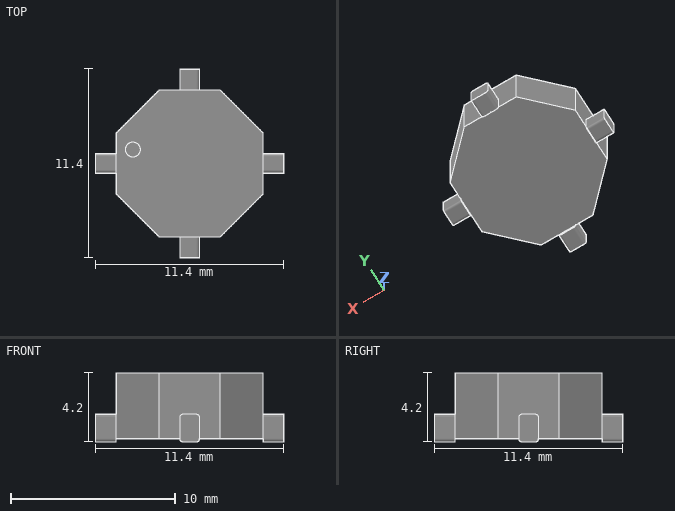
import cadquery as cq
import math

span = 11.43
total_height = 4.2
standoff = 0.2

housing_width = 8.92
housing_height = total_height - standoff
corner_cut = housing_width * (1 - math.tan(math.pi / 8)) / 2

mark_diameter = 0.9
mark_depth = 0.1
mark_x = -3.44
mark_y = 0.85

terminal_count = 4
terminal_width = 1.2
terminal_height = 1.69
terminal_radius = 0.2
terminal_length = (span - housing_width) / 2


def make_housing():
    """Octagonal block raised by the standoff, with the mark in its top face."""
    block = (
        cq.Workplane("XY")
        .box(housing_width, housing_width, housing_height, centered=(True, True, False))
        .edges("|Z")
        .chamfer(corner_cut)
        .translate((0, 0, standoff))
    )
    mark = (
        cq.Workplane("XY")
        .workplane(offset=total_height - mark_depth)
        .center(mark_x, mark_y)
        .circle(mark_diameter / 2)
        .extrude(mark_depth)
    )
    return block.cut(mark)


def make_terminal(angle):
    """Bar with rounded long edges on one flat, turned about Z to the given angle."""
    return (
        cq.Workplane("XY")
        .box(terminal_length, terminal_width, terminal_height, centered=(False, True, False))
        .edges("|X")
        .fillet(terminal_radius)
        .translate((housing_width / 2, 0, 0))
        .rotate((0, 0, 0), (0, 0, 1), angle)
    )


housing = make_housing()
terminals = [make_terminal(i * 360 / terminal_count) for i in range(terminal_count)]

result = cq.Compound.makeCompound([housing.val(), *[terminal.val() for terminal in terminals]])